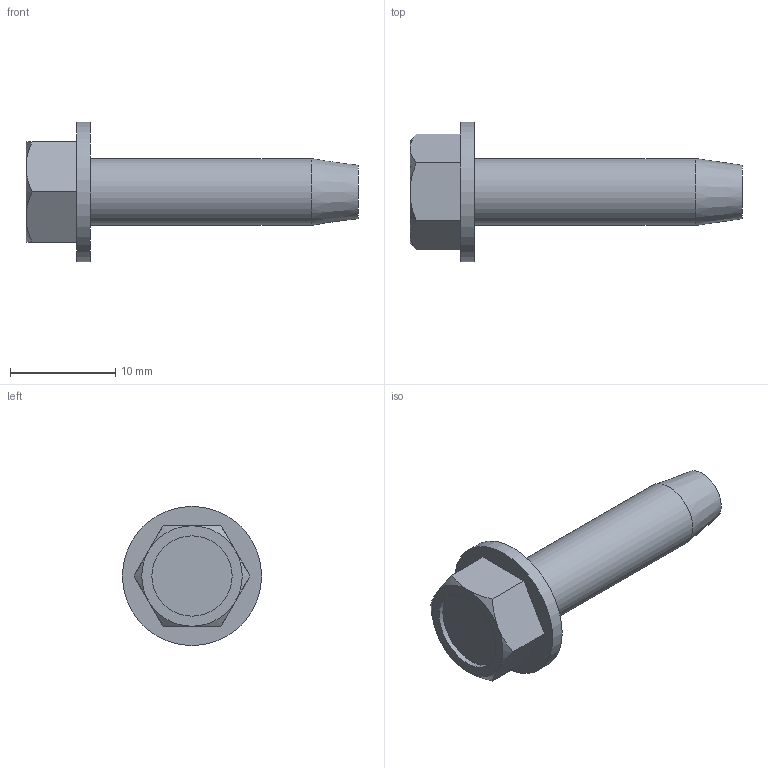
import cadquery as cq
import math

shank_length = 25.4
shank_diameter = 6.35
tip_length = 4.44
tip_diameter = 5.08

flange_diameter = 13.21
flange_thickness = 1.27

head_height = 4.83
across_flats = 9.525
across_corners = across_flats / math.cos(math.pi / 6)
corner_chamfer_angle = 38

recess_diameter = 7.62
recess_depth = 0.5

head_base_x = -flange_thickness
head_end_x = head_base_x - head_height


def plane_at(x):
    """Plane facing +X at the given position, with local x along Y."""
    return cq.Workplane("YZ", origin=(x, 0, 0))


def make_chamfer_envelope():
    """Turned body, coned from the inscribed circle of the hexagon out past its corners."""
    face_radius = across_flats / 2
    corner_radius = across_corners / 2
    cone_length = (corner_radius - face_radius) * math.tan(math.radians(corner_chamfer_angle))
    return (
        cq.Workplane("XY")
        .moveTo(head_end_x, 0)
        .lineTo(head_end_x, face_radius)
        .lineTo(head_end_x + cone_length, corner_radius)
        .lineTo(head_base_x, corner_radius)
        .lineTo(head_base_x, 0)
        .close()
        .revolve(360, (0, 0, 0), (1, 0, 0))
    )


def make_head():
    """Hexagon with flats facing +Z and -Z, chamfered corners and a round recess."""
    hexagon = plane_at(head_end_x).polygon(6, across_corners).extrude(head_height)
    recess = plane_at(head_end_x).circle(recess_diameter / 2).extrude(recess_depth)
    return hexagon.intersect(make_chamfer_envelope()).cut(recess)


def make_flange():
    """Plain round flange between head and shank."""
    return plane_at(head_base_x).circle(flange_diameter / 2).extrude(flange_thickness)


def make_shank():
    """Cylindrical shank with a tapered tip, overlapping the flange."""
    shank_radius = shank_diameter / 2
    return (
        cq.Workplane("XY")
        .moveTo(head_base_x, 0)
        .lineTo(head_base_x, shank_radius)
        .lineTo(shank_length - tip_length, shank_radius)
        .lineTo(shank_length, tip_diameter / 2)
        .lineTo(shank_length, 0)
        .close()
        .revolve(360, (0, 0, 0), (1, 0, 0))
    )


result = make_flange().union(make_head()).union(make_shank())